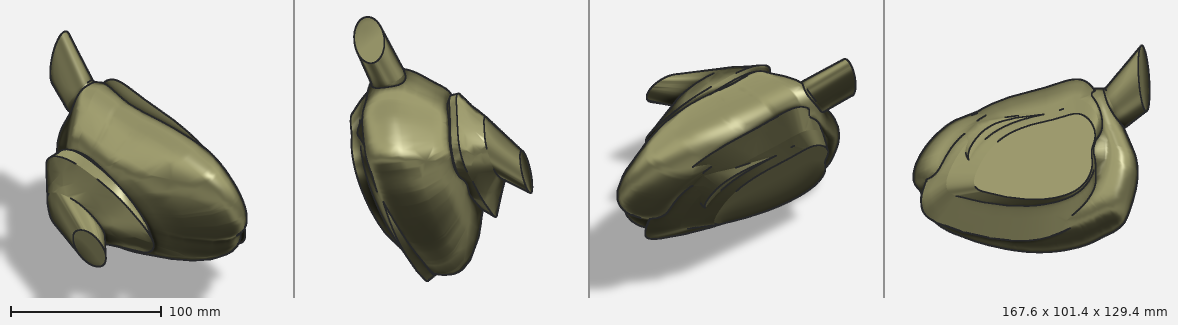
import cadquery as cq
import math


BODY_OUTLINE = [
    (31, 107), (38, 108), (58, 105), (88, 105), (118, 104), (143, 97),
    (160, 82), (167, 68), (166, 58), (162, 52), (162, 46), (158, 36),
    (143, 23), (118, 11), (93, 3), (66, 0), (40, 3), (28, 7),
    (18, 11), (12, 22), (7, 44), (9, 58), (17, 78), (23, 97),
]
BACK_OUTLINE = [
    (28, 65), (31, 98), (42, 110), (65, 109), (90, 106), (125, 94), (151, 61),
    (156, 32), (141, 20), (110, 7), (66, 1), (38, 14), (29, 38),
]
THIGH_OUTLINE = [
    (31, 66), (35, 79), (47, 86), (68, 86), (93, 79), (113, 67), (125, 51),
    (121, 42), (108, 35), (88, 27), (68, 23), (47, 20), (40, 24), (33, 50),
]

BODY_SECTIONS = [
    (-3, 30, 118, 27, 86),
    (-12, 14, 145, 12, 98),
    (-19, 8, 160, 2, 104),
    (-33, 9, 167, 0, 108),
    (-46, 18, 157, 3, 104),
    (-57, 28, 138, 10, 97),
    (-64, 37, 114, 18, 89),
    (-71, 48, 92, 28, 78),
]
BACK_SECTIONS = [
    (0, 28, 112, 22, 79),
    (-6, 28, 134, 21, 92),
    (-15.5, 28, 155, 1, 110),
    (-22, 40, 150, 5, 95),
]
THIGH_SECTIONS = [
    (-60, 45, 100, 28, 84),
    (-66, 35, 116, 21, 86),
    (-72, 31, 125, 22, 82),
]

LEG_ROOT_Y = -87
LEG_END_Y = -101.38
LEG_ROOT_OUTLINE = [(45, 50), (48, 62), (60, 67), (80, 65), (95, 52), (80, 36), (62, 31), (49, 37)]
LEG_END_CENTRE = (94, 50)
LEG_END_RADIUS = 14.4

NECK_TIP_CENTRE = (0, -21, 107)
NECK_TIP_RADII = (22.45, 10.2)
NECK_TIP_LEAN = 8
NECK_ROOT_CENTRE = (22, -27, 92)
NECK_ROOT_RADII = (15.5, 11.5)
NECK_ROOT_TILT = 23
NECK_ROOT_DEPTH = 14


def closed_curve(points, y):
    corners = [cq.Vector(x, y, z) for x, z in points]
    return cq.Wire.assembleEdges([cq.Edge.makeSpline(corners, periodic=True)])


def fitted(outline, left, right, bottom, top):
    xs = [x for x, _ in outline]
    zs = [z for _, z in outline]
    x_stretch = (right - left) / (max(xs) - min(xs))
    z_stretch = (top - bottom) / (max(zs) - min(zs))
    return [(left + (x - min(xs)) * x_stretch, bottom + (z - min(zs)) * z_stretch) for x, z in outline]


def section_wires(outline, sections):
    return [closed_curve(fitted(outline, *limits), y) for y, *limits in sections]


def lofted(wires, ruled):
    return cq.Workplane(cq.Solid.makeLoft(wires, ruled))


def circle_point(centre, radius, degrees):
    x, z = centre
    angle = math.radians(degrees)
    return (x + radius * math.cos(angle), z + radius * math.sin(angle))


def leg(root):
    step = 360 / len(LEG_ROOT_OUTLINE)
    end_points = [
        circle_point(LEG_END_CENTRE, LEG_END_RADIUS, 180 - step * i) for i in range(len(LEG_ROOT_OUTLINE))
    ]
    end = closed_curve(end_points, LEG_END_Y)
    return lofted([root, end], ruled=True)


def neck():
    lean = math.radians(NECK_TIP_LEAN)
    tilt = math.radians(NECK_ROOT_TILT)
    root_normal = cq.Vector(math.cos(tilt), 0, -math.sin(tilt))
    tip = cq.Wire.makeEllipse(
        *NECK_TIP_RADII,
        cq.Vector(*NECK_TIP_CENTRE),
        cq.Vector(1, 0, 0),
        cq.Vector(0, math.sin(lean), math.cos(lean)),
    )
    root_up = cq.Vector(math.sin(tilt), 0, math.cos(tilt))
    root_centre = cq.Vector(*NECK_ROOT_CENTRE)
    rings = [
        cq.Wire.makeEllipse(*NECK_ROOT_RADII, centre, root_normal, root_up)
        for centre in (root_centre, root_centre + root_normal * NECK_ROOT_DEPTH)
    ]
    return lofted([tip] + rings, ruled=True)


leg_root = closed_curve(LEG_ROOT_OUTLINE, LEG_ROOT_Y)
body = lofted(section_wires(BODY_OUTLINE, BODY_SECTIONS), ruled=False)
back = lofted(section_wires(BACK_OUTLINE, BACK_SECTIONS), ruled=True)
thigh = lofted(section_wires(THIGH_OUTLINE, THIGH_SECTIONS) + [leg_root], ruled=True)
result = body.union(back).union(thigh).union(leg(leg_root)).union(neck())